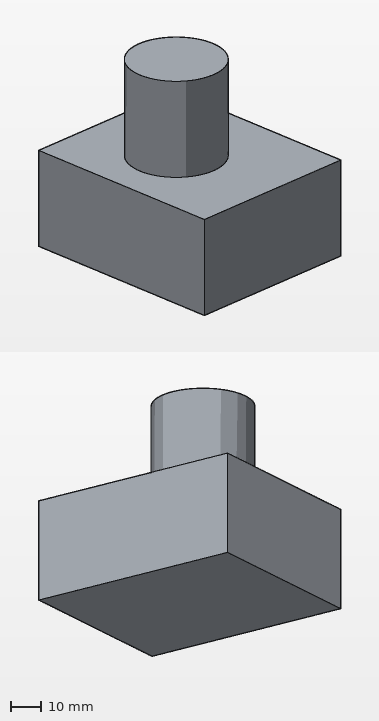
import cadquery as cq

base_length = 76.4
base_width = 64.3
base_height = 35.0

post_diameter = 34.3
post_height = base_height
post_x = 35.1
post_y = 29.0

base = cq.Workplane("XY").box(base_length, base_width, base_height, centered=False)

post = (
    cq.Workplane("XY", origin=(post_x, post_y, base_height))
    .circle(post_diameter / 2)
    .extrude(post_height)
)

result = base.union(post)